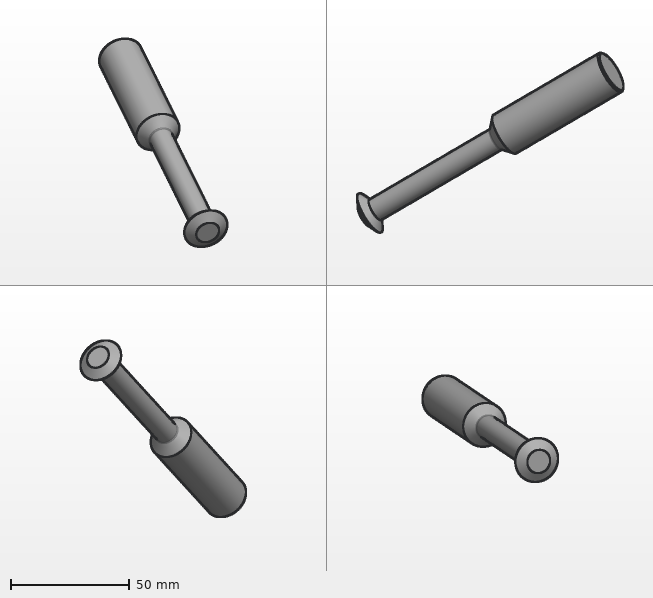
import cadquery as cq
import math

total_length = 127.0
shank_radius = 9.5
shank_end = 54.9
shank_chamfer = 0.6
neck_radius = 5.1
shoulder_angle = math.radians(45)
shoulder_fillet = 0.8
head_radius = 9.5
head_width = 5.6
rim_width = 0.3

head_start = total_length - head_width
rim_start = total_length - (head_width + rim_width) / 2
rim_end = rim_start + rim_width

corner_x = shank_end + (shank_radius - neck_radius) / math.tan(shoulder_angle)
fillet_end = corner_x + shoulder_fillet * math.tan(shoulder_angle / 2)
fillet_center_y = neck_radius + shoulder_fillet


def fillet_point(angle):
    """Point on the shoulder fillet, turned back by angle from its neck end."""
    return (
        fillet_end - shoulder_fillet * math.sin(angle),
        fillet_center_y - shoulder_fillet * math.cos(angle),
    )


profile = (
    cq.Workplane("XY")
    .lineTo(0, shank_radius - shank_chamfer)
    .lineTo(shank_chamfer, shank_radius)
    .lineTo(shank_end, shank_radius)
    .lineTo(*fillet_point(shoulder_angle))
    .threePointArc(fillet_point(shoulder_angle / 2), fillet_point(0))
    .lineTo(head_start, neck_radius)
    .lineTo(rim_start, head_radius)
    .lineTo(rim_end, head_radius)
    .lineTo(total_length, neck_radius)
    .lineTo(total_length, 0)
    .close()
)

result = profile.revolve(360, (0, 0, 0), (1, 0, 0))